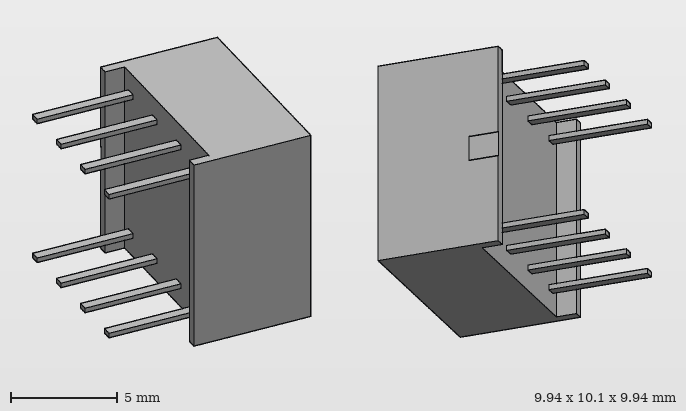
import cadquery as cq

HOUSING_SIDE = 9.94
HOUSING_DEPTH = 6.13
WALL = 0.5
RECESS_DEPTH = 1.02

NOTCH_LENGTH = 1.5
NOTCH_HEIGHT = 1.22
NOTCH_DEPTH = 0.05

OVERALL_DEPTH = 10.13
PINS_PER_ROW = 4
PIN_WIDTH = 0.5
PIN_THICKNESS = 0.25
PIN_PITCH = 2.54
ROW_SPACING = 7.62

BACK_Y = OVERALL_DEPTH / 2
PIN_TIP_Y = -OVERALL_DEPTH / 2
RIM_Y = BACK_Y - HOUSING_DEPTH
RECESS_FLOOR_Y = RIM_Y + RECESS_DEPTH
NOTCHED_SIDE_X = -HOUSING_SIDE / 2


def block(x_range, y_range, z_range):
    """Box spanning the given (low, high) range on each axis."""
    ranges = (x_range, y_range, z_range)
    sizes = [high - low for low, high in ranges]
    corner = tuple(low for low, _ in ranges)
    return cq.Workplane("XY").box(*sizes, centered=False).translate(corner)


def centered(size, middle=0.0):
    """(low, high) range of the given size about its middle."""
    return (middle - size / 2, middle + size / 2)


def make_housing():
    """Square block with a full-height recess between two side walls and a shallow notch."""
    full_side = centered(HOUSING_SIDE)
    body = block(full_side, (RIM_Y, BACK_Y), full_side)
    recess = block(centered(HOUSING_SIDE - 2 * WALL), (RIM_Y, RECESS_FLOOR_Y), full_side)
    notch = block(
        (NOTCHED_SIDE_X, NOTCHED_SIDE_X + NOTCH_DEPTH),
        (RIM_Y, RIM_Y + NOTCH_LENGTH),
        centered(NOTCH_HEIGHT),
    )
    return body.cut(recess).cut(notch)


def make_pin(x, z):
    """Straight flat pin standing on the recess floor."""
    return block(centered(PIN_WIDTH, x), (PIN_TIP_Y, RECESS_FLOOR_Y), centered(PIN_THICKNESS, z))


housing = make_housing()

pins = []
for row_z in centered(ROW_SPACING):
    for column in range(PINS_PER_ROW):
        pin_x = (column - (PINS_PER_ROW - 1) / 2) * PIN_PITCH
        pins.append(make_pin(pin_x, row_z))

result = cq.Compound.makeCompound([housing.val(), *[pin.val() for pin in pins]])